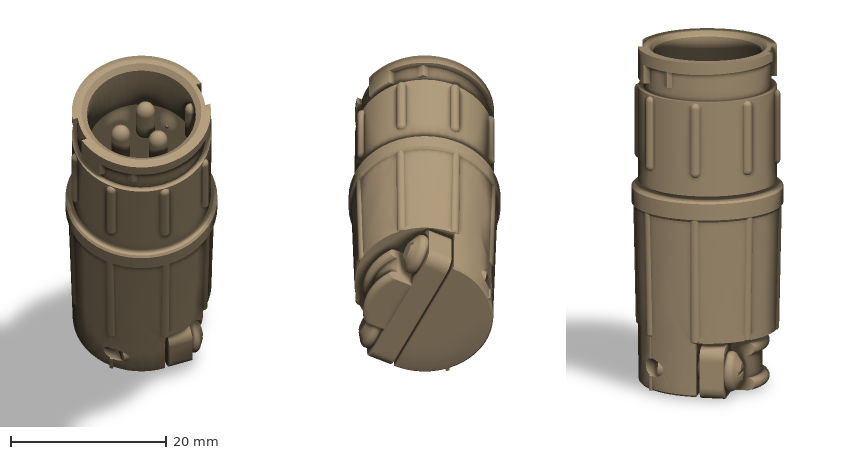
import cadquery as cq
import math

TOTAL_HEIGHT = 44.77
COLLAR_RADIUS = 9.78
OVERLAP = 0.5

LIP_RADIUS = 8.96
SLEEVE_RADIUS = 8.27
LIP_BOTTOM = 43.2
LIP_GAP_HALF_WIDTH = 1.76
RAMP_RISE = 0.4
RAMP_ANGLE = 80.0
RAMP_DEPTH = 0.8
STOP_BOTTOM = 40.7
STOP_END_X = 4.95
DETENT_BOTTOM = 41.0
DETENT_POINTS = [(6.95, -4.47), (7.69, -3.93), (7.69, -3.24), (6.8, -3.0)]

BORE_RADIUS = 7.0
BORE_MOUTH_RADIUS = 7.7
BORE_CHAMFER_DEPTH = 0.6
FLOOR_Z = 36.9
PIN_COUNT = 3
PIN_START_ANGLE = 30
PIN_RADIUS = 1.2
PIN_CIRCLE_RADIUS = 2.83
PIN_TIP_Z = 42.4
KEY_RADIUS = 0.8
KEY_Y = 6.8
KEY_TIP_Z = 43.0
MARK_RADIUS = 0.3
MARK_HEIGHT = 0.3
MARK_X = -2.08
MARK_Y = 4.3

NUT_RADIUS = LIP_RADIUS
NUT_TOP = 39.55
NUT_BOTTOM = 27.08
NECK_RADIUS = 7.86
RIB_COUNT = 8
RIB_RADIUS = 0.65
NUT_RIB_CENTRE = 8.88
NUT_RIB_TOP = 39.4
NUT_RIB_BOTTOM = 29.5

COLLAR_TOP = 26.5
COLLAR_TOP_CHAMFER = 0.25
COLLAR_EDGE_Z = 24.1
SHELL_TOP = 23.75
SHELL_TOP_RADIUS = 9.43
SHELL_FOOT_RADIUS = 8.85
SHELL_BOTTOM = 0.27
SHELL_FOOT_CHAMFER = 0.25
CUTAWAY_TOP = 7.5
CUTAWAY_Y = 0.08
SHELL_RIB_TOP_CENTRE = 9.05
SHELL_RIB_BOTTOM_CENTRE = 8.7
SHELL_RIB_CHAMFER = 0.2
FIN_HALF_WIDTH = 0.2
FIN_RADIUS = 9.05
FIN_ANGLES = (225, 315)

CLAMP_LENGTH = 18.4
CLAMP_HEIGHT = 6.8
CLAMP_NEAR_Y = 0.58
CLAMP_FAR_Y = 3.76
CLAMP_CORNER_RADIUS = 1.6
CLAMP_MID_Z = CLAMP_HEIGHT / 2
SADDLE_HALF_LENGTH = 3.9
ARCH_WIDTH = 1.64
ARCH_INSET = 0.22
ARCH_CREST_FILLET = 0.48 * ARCH_WIDTH
ARCH_END_Y = 6.85
ARCH_CREST_Y = 8.0
WEB_END_Y = 5.75
WEB_CREST_Y = 7.1

SCREW_X = 6.6
SCREW_RADIUS = 1.18
SCREW_TIP_Y = -5.12
HEAD_RADIUS = 2.6
HEAD_BASE_RADIUS = 2.45
HEAD_RIM_Y = 4.45
HEAD_SHOULDER_RADIUS = 2.3
HEAD_SHOULDER_Y = 4.92
HEAD_TOP_RADIUS = 1.15
HEAD_TOP_Y = 5.7
SLOT_WIDTH = 0.64
SLOT_DEPTH = 0.25


def cylinder(radius, bottom, top, x=0.0, y=0.0):
    return cq.Workplane("XY").workplane(offset=bottom).center(x, y).circle(radius).extrude(top - bottom)


def box(x0, x1, y0, y1, z0, z1):
    return cq.Workplane("XY").box(x1 - x0, y1 - y0, z1 - z0, centered=False).translate((x0, y0, z0))


def half_turn(shape):
    return shape.rotate((0, 0, 0), (0, 0, 1), 180)


def domed_pin(radius, bottom, tip, x, y):
    dome_z = tip - radius
    dome = cq.Workplane("XY").sphere(radius).translate((x, y, dome_z))
    return cylinder(radius, bottom, dome_z, x, y).union(dome)


def turned_body():
    """Everything that is round about Z, as one revolved outline."""
    outline = [
        (0, SHELL_BOTTOM),
        (SHELL_FOOT_RADIUS - SHELL_FOOT_CHAMFER, SHELL_BOTTOM),
        (SHELL_FOOT_RADIUS, SHELL_BOTTOM + SHELL_FOOT_CHAMFER),
        (SHELL_TOP_RADIUS, SHELL_TOP),
        (COLLAR_RADIUS, COLLAR_EDGE_Z),
        (COLLAR_RADIUS, COLLAR_TOP - COLLAR_TOP_CHAMFER),
        (COLLAR_RADIUS - COLLAR_TOP_CHAMFER, COLLAR_TOP),
        (NECK_RADIUS, COLLAR_TOP),
        (NECK_RADIUS, NUT_BOTTOM),
        (NUT_RADIUS, NUT_BOTTOM),
        (NUT_RADIUS, NUT_TOP),
        (SLEEVE_RADIUS, NUT_TOP),
        (SLEEVE_RADIUS, TOTAL_HEIGHT),
        (BORE_MOUTH_RADIUS, TOTAL_HEIGHT),
        (BORE_RADIUS, TOTAL_HEIGHT - BORE_CHAMFER_DEPTH),
        (BORE_RADIUS, FLOOR_Z),
        (0, FLOOR_Z),
    ]
    return cq.Workplane("XZ").polyline(outline).close().revolve(360, (0, 0, 0), (0, 1, 0))


def ring(bottom, top):
    """Lip-sized ring that sits on the outside of the sleeve."""
    return cylinder(LIP_RADIUS, bottom, top).cut(cylinder(SLEEVE_RADIUS, bottom, top))


def ramp_cutter():
    """Helical wedge under the lip, starting at -X and climbing towards -Y."""
    pitch = RAMP_RISE * 360 / RAMP_ANGLE
    path = cq.Wire.makeHelix(pitch, RAMP_RISE, SLEEVE_RADIUS)
    section = [
        (SLEEVE_RADIUS - OVERLAP, 0),
        (LIP_RADIUS + OVERLAP, 0),
        (LIP_RADIUS + OVERLAP, -RAMP_DEPTH),
        (SLEEVE_RADIUS - OVERLAP, -RAMP_DEPTH),
    ]
    wedge = cq.Workplane("XZ").polyline(section).close().sweep(cq.Workplane(path), isFrenet=True)
    return half_turn(wedge.translate((0, 0, LIP_BOTTOM)))


def bayonet_lip():
    """Lip with two gaps, two ramps, two stops and two detents, repeated every half turn."""
    reach = LIP_RADIUS + OVERLAP
    lip = ring(LIP_BOTTOM, TOTAL_HEIGHT)
    lip = lip.cut(box(-LIP_GAP_HALF_WIDTH, LIP_GAP_HALF_WIDTH, -reach, reach, LIP_BOTTOM, TOTAL_HEIGHT))
    ramp = ramp_cutter()
    lip = lip.cut(ramp).cut(half_turn(ramp))

    stop_zone = box(LIP_GAP_HALF_WIDTH, STOP_END_X, -reach, 0, STOP_BOTTOM, LIP_BOTTOM)
    stop = ring(STOP_BOTTOM, LIP_BOTTOM).intersect(stop_zone)
    detent = cq.Workplane("XY").workplane(offset=DETENT_BOTTOM).polyline(DETENT_POINTS).close()
    detent = detent.extrude(LIP_BOTTOM - DETENT_BOTTOM)
    for feature in (stop, detent):
        lip = lip.union(feature).union(half_turn(feature))
    return lip


def contacts():
    base = FLOOR_Z - OVERLAP
    parts = domed_pin(KEY_RADIUS, base, KEY_TIP_Z, 0, KEY_Y)
    for i in range(PIN_COUNT):
        angle = math.radians(PIN_START_ANGLE + 360 / PIN_COUNT * i)
        x = PIN_CIRCLE_RADIUS * math.cos(angle)
        y = PIN_CIRCLE_RADIUS * math.sin(angle)
        parts = parts.union(domed_pin(PIN_RADIUS, base, PIN_TIP_Z, x, y))
    mark = cylinder(MARK_RADIUS, base, FLOOR_Z + MARK_HEIGHT, MARK_X, MARK_Y)
    lower_half = box(MARK_X - MARK_RADIUS, MARK_X + MARK_RADIUS, MARK_Y - MARK_RADIUS, MARK_Y,
                     base, FLOOR_Z + MARK_HEIGHT)
    return parts.union(mark.intersect(lower_half))


def nut_rib():
    """Round-ended grip rib at +X."""
    low = NUT_RIB_BOTTOM + RIB_RADIUS
    bottom_dome = cq.Workplane("XY").sphere(RIB_RADIUS).translate((NUT_RIB_CENTRE, 0, low))
    return domed_pin(RIB_RADIUS, low, NUT_RIB_TOP, NUT_RIB_CENTRE, 0).union(bottom_dome)


def shell_rib():
    """Leaning grip rib at +X that follows the taper of the shell."""
    rise = COLLAR_EDGE_Z - CUTAWAY_TOP
    lean = SHELL_RIB_TOP_CENTRE - SHELL_RIB_BOTTOM_CENTRE
    start = cq.Vector(SHELL_RIB_BOTTOM_CENTRE, 0, CUTAWAY_TOP)
    solid = cq.Solid.makeCylinder(RIB_RADIUS, math.hypot(rise, lean), start, cq.Vector(lean, 0, rise))
    return cq.Workplane(obj=solid).faces("<Z").chamfer(SHELL_RIB_CHAMFER)


def add_ribs(body, rib):
    for i in range(RIB_COUNT):
        body = body.union(rib.rotate((0, 0, 0), (0, 0, 1), 360 / RIB_COUNT * i))
    return body


def cutaway():
    reach = COLLAR_RADIUS + OVERLAP
    return box(-reach, reach, CUTAWAY_Y, reach, 0, CUTAWAY_TOP)


def foot_fin(angle):
    """Thin fin that carries a diagonal rib on down to the foot of the shell."""
    inner = SHELL_FOOT_RADIUS - OVERLAP
    fin = box(inner, FIN_RADIUS, -FIN_HALF_WIDTH, FIN_HALF_WIDTH, SHELL_BOTTOM, CUTAWAY_TOP + OVERLAP)
    return fin.rotate((0, 0, 0), (0, 0, 1), angle)


def saddle_rib(end_y, crest_y, bottom, width):
    """Arched rib across the middle of the clamp bar."""
    base_y = CLAMP_FAR_Y - OVERLAP
    profile = (
        cq.Workplane("XY").workplane(offset=bottom)
        .moveTo(-SADDLE_HALF_LENGTH, base_y)
        .lineTo(-SADDLE_HALF_LENGTH, end_y)
        .threePointArc((0, crest_y), (SADDLE_HALF_LENGTH, end_y))
        .lineTo(SADDLE_HALF_LENGTH, base_y)
        .close()
    )
    return profile.extrude(width)


def rounded_arch(bottom):
    """Saddle rib whose arched crest is rounded over across nearly its full width."""
    arch = saddle_rib(ARCH_END_Y, ARCH_CREST_Y, bottom, ARCH_WIDTH)
    return arch.edges("%CIRCLE").fillet(ARCH_CREST_FILLET)


def clamp_bar():
    half = CLAMP_LENGTH / 2
    bar = box(-half, half, CLAMP_NEAR_Y, CLAMP_FAR_Y, 0, CLAMP_HEIGHT)
    bar = bar.edges("|Y").fillet(CLAMP_CORNER_RADIUS)
    upper_arch_bottom = CLAMP_HEIGHT - ARCH_INSET - ARCH_WIDTH
    web_height = CLAMP_HEIGHT - 2 * ARCH_INSET - ARCH_WIDTH
    web_bottom = ARCH_INSET + ARCH_WIDTH / 2
    bar = bar.union(saddle_rib(WEB_END_Y, WEB_CREST_Y, web_bottom, web_height))
    return bar.union(rounded_arch(ARCH_INSET)).union(rounded_arch(upper_arch_bottom))


def clamp_screw(x):
    """Slotted pan-head screw along Y, turned about its own axis."""
    outline = (
        cq.Workplane("XY")
        .moveTo(0, SCREW_TIP_Y)
        .lineTo(SCREW_RADIUS, SCREW_TIP_Y)
        .lineTo(SCREW_RADIUS, CLAMP_FAR_Y)
        .lineTo(HEAD_BASE_RADIUS, CLAMP_FAR_Y)
        .threePointArc((HEAD_RADIUS, HEAD_RIM_Y), (HEAD_SHOULDER_RADIUS, HEAD_SHOULDER_Y))
        .lineTo(HEAD_TOP_RADIUS, HEAD_TOP_Y)
        .lineTo(0, HEAD_TOP_Y)
        .close()
    )
    screw = outline.revolve(360, (0, 0, 0), (0, 1, 0))
    slot = box(-HEAD_RADIUS, HEAD_RADIUS, HEAD_TOP_Y - SLOT_DEPTH, HEAD_TOP_Y,
               -SLOT_WIDTH / 2, SLOT_WIDTH / 2)
    return screw.cut(slot).translate((x, 0, CLAMP_MID_Z))


def screw_hole(x):
    """Clearance in front of the screw tip, open at the -Y side of the shell."""
    hole = cq.Workplane("XZ", origin=(x, SCREW_TIP_Y, CLAMP_MID_Z)).circle(SCREW_RADIUS)
    return hole.extrude(COLLAR_RADIUS + SCREW_TIP_Y)


def build():
    body = turned_body().union(bayonet_lip()).union(contacts())
    body = add_ribs(body, nut_rib())
    body = add_ribs(body, shell_rib())
    for angle in FIN_ANGLES:
        body = body.union(foot_fin(angle))
    body = body.cut(cutaway()).union(clamp_bar())
    for x in (-SCREW_X, SCREW_X):
        body = body.cut(screw_hole(x)).union(clamp_screw(x))
    return body


result = build()